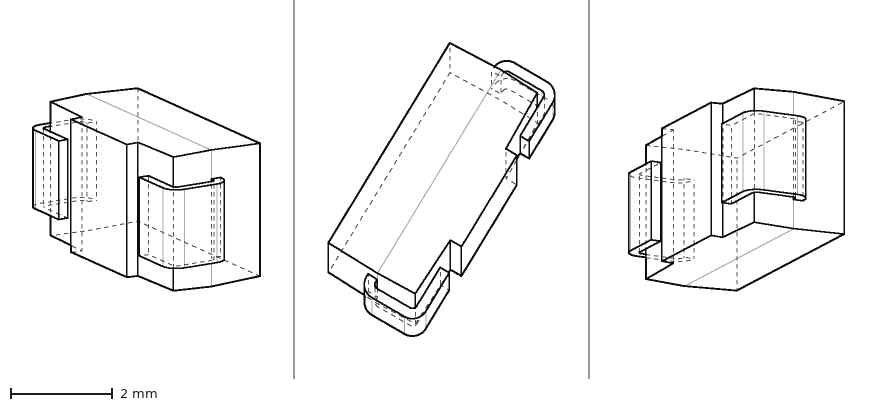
import cadquery as cq
import math

body_length = 4.755
body_height = 2.79
back_depth = 1.14
front_depth = 1.15
draft_angle = 2.0

pad_length = 2.135
recess_depth = 0.25
recess_slope = math.tan(math.radians(draft_angle))

overall_length = 5.49
lead_thickness = 0.21
lead_height = 1.605
foot_length = 1.21
bend_outer_radius = 0.31
bend_inner_radius = bend_outer_radius - lead_thickness
lead_embed = 0.11


def body_half(depth):
    """Half of the body, tapering from the parting plane to the given depth along -Y."""
    return (
        cq.Workplane("XZ")
        .rect(body_length, body_height)
        .extrude(depth, taper=draft_angle)
    )


def recess_cutter():
    """Material removed from the front face between the pad and the -X end."""
    inner_x = -pad_length / 2
    outer_x = -overall_length / 2
    inner_y = -front_depth + recess_depth
    outer_y = inner_y + (inner_x - outer_x) * recess_slope
    return (
        cq.Workplane("XY")
        .moveTo(inner_x, -front_depth)
        .lineTo(inner_x, inner_y)
        .lineTo(outer_x, outer_y)
        .lineTo(outer_x, -front_depth)
        .close()
        .extrude(body_height / 2, both=True)
    )


def lead():
    """Lead on the -X end: out of the body, down its end and back under the front."""
    outer_x = -overall_length / 2
    inner_x = outer_x + lead_thickness
    root_x = -body_length / 2 + lead_embed
    foot_x = outer_x + foot_length
    foot_y = -front_depth
    outline = (
        cq.Workplane("XY")
        .moveTo(root_x, lead_thickness)
        .lineTo(outer_x + bend_outer_radius, lead_thickness)
        .radiusArc((outer_x, lead_thickness - bend_outer_radius), -bend_outer_radius)
        .lineTo(outer_x, foot_y + bend_outer_radius)
        .radiusArc((outer_x + bend_outer_radius, foot_y), -bend_outer_radius)
        .lineTo(foot_x, foot_y)
        .lineTo(foot_x, foot_y + lead_thickness)
        .lineTo(inner_x + bend_inner_radius, foot_y + lead_thickness)
        .radiusArc((inner_x, foot_y + lead_thickness + bend_inner_radius), bend_inner_radius)
        .lineTo(inner_x, -bend_inner_radius)
        .radiusArc((inner_x + bend_inner_radius, 0), bend_inner_radius)
        .lineTo(root_x, 0)
        .close()
    )
    return outline.extrude(lead_height / 2, both=True)


def both_ends(shape):
    """The shape together with its mirror image at the +X end."""
    return shape.union(shape.mirror("YZ"))


back_half = body_half(back_depth).mirror("XZ")
front_half = body_half(front_depth).cut(both_ends(recess_cutter()))

result = back_half.union(front_half).union(both_ends(lead()))